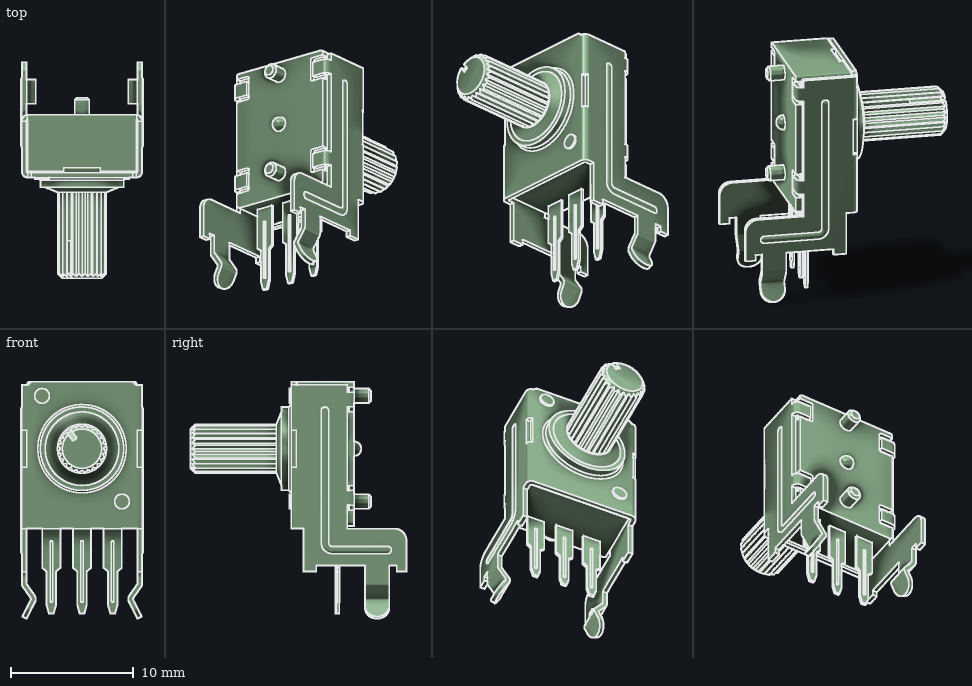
import cadquery as cq
import math


sheet = 0.4
frame_half_width = 4.9
wall_inner_x = frame_half_width - sheet
bend_radius = 0.5
wall_rear = 4.57
wall_top = 5.2
body_top = 5.45
plate_bottom = -6.5
lip_half_width = 4.4
lip_corner_x = 0.25
window_length = 3.0

collar_diameter = 6.8
collar_bore = 6.0
collar_length = 0.8
collar_root = 0.2

tab_offset = 4.0
tab_width = 1.2
tab_end_x = 3.4
tab_slot_width = 2.0
tab_slot_end_x = 3.2
tab_slot_fillet = 0.2

foot_front = 1.0
foot_rear = 9.4
foot_bottom = -9.52
foot_corner_radius = 1.0
pad_bottom = -10.0
front_pad_length = 1.05
rear_pad_length = 0.82

leg_y = 7.0
leg_width = 2.0
leg_bend_z = -11.14
leg_knee_z = -12.23
leg_bottom = -13.85
leg_inward_angle = 35
leg_outward_angle = 27
leg_bend_radius = 0.5

bead_height = 0.1
bead_half_width = 0.3
bead_y = 2.75
bead_top = 3.4
bead_z = -8.25
bead_rear = 8.15
bead_bend = 0.6

side_gap = 0.05
housing_half_width = wall_inner_x - side_gap
housing_front = sheet
housing_rear = 5.12
housing_bottom = -6.3
housing_top_fillet = 0.2
housing_bottom_fillet = 0.35
housing_chamfer = 0.1
pocket_length = 0.4
pocket_depth = 0.4
pin_diameter = 1.2
pin_z = 4.3
pin_length = 1.4
pin_chamfer = 0.2
rivet_x = 3.25
rivet_z = 4.3
rivet_height = 0.15
dome_radius = 0.6

rotor_seat_rear = 2.4
cone_front = -1.2
shaft_radius = 2.0
shaft_end = -8.2
shaft_chamfer = 0.4
knurl_teeth = 24
knurl_root_radius = 1.76
slot_angle = 127.5
slot_width = 0.4
slot_length = 3.05
slot_floor_radius = 1.7
slot_ramp_y = -7.8
slot_ramp_end_radius = 0.95

terminal_pitch = 2.5
terminal_front = 3.6
terminal_stagger = 0.12
terminal_thickness = 0.2
terminal_top = -5.0
shoulder_half_width = 0.75
shoulder_z = -9.7
neck_half_width = 0.4
neck_z = -10.0
taper_z = -12.7
tip_half_width = 0.2
tip_z = -13.43
rib_width = 0.2
rib_top = -7.5
rib_bottom = -12.5
rib_depth = 0.05


def block(x0, x1, y0, y1, z0, z1):
    """Box between two opposite corners."""
    return cq.Workplane("XY").box(x1 - x0, y1 - y0, z1 - z0, centered=False).translate((x0, y0, z0))


def rod(x, z, radius, y0, y1):
    """Cylinder along Y."""
    return cq.Workplane(cq.Solid.makeCylinder(radius, y1 - y0, cq.Vector(x, y0, z), cq.Vector(0, 1, 0)))



def make_channel():
    """Front plate and side walls with rounded bends, and the lip on the plate's top edge."""
    outer = block(-frame_half_width, frame_half_width, 0, wall_rear, plate_bottom, wall_top)
    outer = outer.edges("|Z and <Y").fillet(bend_radius)
    inner = block(-wall_inner_x, wall_inner_x, sheet, wall_rear, plate_bottom, wall_top)
    inner = inner.edges("|Z and <Y").fillet(bend_radius - sheet)
    lip_top_x = lip_half_width - lip_corner_x
    lip = (
        cq.Workplane("XZ")
        .polyline([(-lip_half_width, 0), (-lip_half_width, wall_top), (-lip_top_x, body_top),
                   (lip_top_x, body_top), (lip_half_width, wall_top), (lip_half_width, 0)])
        .close()
        .extrude(-sheet)
    )
    return outer.cut(inner).union(lip)


def make_collar():
    """Collar on the front plate with a sloped foot."""
    radius = collar_diameter / 2
    root_radius = radius + collar_root
    return (
        cq.Workplane("XY")
        .moveTo(collar_bore / 2, sheet)
        .lineTo(root_radius, sheet)
        .lineTo(root_radius, 0)
        .lineTo(radius, -collar_root)
        .lineTo(radius, -collar_length)
        .lineTo(collar_bore / 2, -collar_length)
        .close()
        .revolve(360, (0, 0, 0), (0, 1, 0))
    )


def make_tab(z):
    """Left-hand tab: a quarter bend at the wall's rear edge, then a flat end behind the housing."""
    bend_start = housing_rear - bend_radius
    bend_end_x = -frame_half_width + bend_radius
    inner_radius = bend_radius - sheet
    return (
        cq.Workplane("XY", origin=(0, 0, z - tab_width / 2))
        .moveTo(-frame_half_width, wall_rear - sheet)
        .lineTo(-frame_half_width, bend_start)
        .radiusArc((bend_end_x, housing_rear), bend_radius)
        .lineTo(-tab_end_x, housing_rear)
        .lineTo(-tab_end_x, housing_rear - sheet)
        .lineTo(bend_end_x, housing_rear - sheet)
        .radiusArc((-wall_inner_x, bend_start), -inner_radius)
        .lineTo(-wall_inner_x, wall_rear - sheet)
        .close()
        .extrude(tab_width)
    )


def make_foot():
    """Left-hand foot plate with its two stand-off pads."""
    x0, x1 = -frame_half_width, -wall_inner_x
    foot = block(x0, x1, foot_front, foot_rear, foot_bottom, plate_bottom)
    foot = foot.edges("|X and >Y and >Z").fillet(foot_corner_radius)
    riser = block(x0, x1, foot_front, wall_rear, foot_bottom, wall_top - bend_radius)
    front_pad = block(x0, x1, foot_front, foot_front + front_pad_length, pad_bottom, foot_bottom)
    rear_pad = block(x0, x1, foot_rear - rear_pad_length, foot_rear, pad_bottom, foot_bottom)
    return foot.union(riser).union(front_pad).union(rear_pad)


def make_leg():
    """Left-hand snap leg: sheet bent inward, then outward at the knee, with a round tip."""
    inward = math.radians(leg_inward_angle)
    outward = math.radians(leg_outward_angle)
    leg_tip_z = leg_bottom + sheet * math.sin(outward)
    knee_x = -frame_half_width + (leg_bend_z - leg_knee_z) * math.tan(inward)
    tip_x = knee_x - (leg_knee_z - leg_tip_z) * math.tan(outward)
    bend_drop = sheet * math.tan(inward / 2)
    turn = (inward + outward) / 2
    mitre = sheet / math.cos(turn)
    mitre_angle = (inward - outward) / 2
    outer_bend = (-frame_half_width, leg_bend_z)
    inner_bend = (-wall_inner_x, leg_bend_z + bend_drop)
    outer_knee = (knee_x, leg_knee_z)
    inner_knee = (knee_x + mitre * math.cos(mitre_angle), leg_knee_z + mitre * math.sin(mitre_angle))
    strip = (
        cq.Workplane("XZ", origin=(0, leg_y + leg_width / 2, 0))
        .moveTo(-frame_half_width, foot_bottom)
        .lineTo(*outer_bend)
        .lineTo(*outer_knee)
        .lineTo(tip_x, leg_tip_z)
        .lineTo(tip_x + sheet * math.cos(outward), leg_bottom)
        .lineTo(*inner_knee)
        .lineTo(*inner_bend)
        .lineTo(-wall_inner_x, foot_bottom)
        .close()
        .extrude(leg_width)
    )
    concave_radius = leg_bend_radius - sheet
    for (x, z), bend in [
        (outer_bend, leg_bend_radius),
        (inner_bend, concave_radius),
        (outer_knee, concave_radius),
        (inner_knee, leg_bend_radius),
    ]:
        strip = strip.edges(cq.NearestToPointSelector((x, leg_y, z))).fillet(bend)
    radius = leg_width / 2
    reach = foot_bottom - leg_tip_z + leg_width
    tip_plane = cq.Plane(
        origin=(tip_x, leg_y, leg_tip_z),
        xDir=(0, 1, 0),
        normal=(math.cos(outward), 0, -math.sin(outward)),
    )
    blank = (
        cq.Workplane(tip_plane)
        .moveTo(-radius, radius)
        .threePointArc((0, 0), (radius, radius))
        .lineTo(radius, reach)
        .lineTo(-radius, reach)
        .close()
        .extrude(leg_width, both=True)
    )
    return strip.intersect(blank)


def make_bead():
    """Left-hand L-shaped bead: a round bar with ball ends, of which only the crest stands proud."""
    radius = (bead_half_width ** 2 + bead_height ** 2) / (2 * bead_height)
    axis_x = -frame_half_width - bead_height + radius
    top_z = bead_top - bead_half_width
    rear_y = bead_rear - bead_half_width
    path = (
        cq.Workplane("YZ", origin=(axis_x, 0, 0))
        .moveTo(bead_y, top_z)
        .lineTo(bead_y, bead_z + bead_bend)
        .radiusArc((bead_y + bead_bend, bead_z), -bead_bend)
        .lineTo(rear_y, bead_z)
    )
    bar = cq.Workplane("XY", origin=(axis_x, bead_y, top_z)).circle(radius).sweep(path)
    for y, z in [(bead_y, top_z), (rear_y, bead_z)]:
        bar = bar.union(cq.Workplane("XY").sphere(radius).translate((axis_x, y, z)))
    crest = block(-frame_half_width - bead_height, -frame_half_width + bead_height,
                  0, foot_rear, foot_bottom, wall_top)
    return bar.intersect(crest)


def make_frame():
    """Sheet frame with both sides, collar, corner windows and rivet holes."""
    side = make_foot().union(make_leg()).union(make_bead())
    for z in (-tab_offset, tab_offset):
        side = side.union(make_tab(z))
    frame = make_channel().union(side).union(side.mirror("YZ")).union(make_collar())
    frame = frame.cut(rod(0, 0, collar_bore / 2, -collar_length, sheet))
    half_window = window_length / 2
    window = block(-frame_half_width, -wall_inner_x, 0, sheet, -half_window, half_window)
    frame = frame.cut(window).cut(window.mirror("YZ"))
    for sign in (-1, 1):
        frame = frame.cut(rod(sign * rivet_x, -sign * rivet_z, pin_diameter / 2, 0, sheet))
    return frame



def make_tab_slot(z):
    """Left-hand recess in the housing's rear that takes a folded tab, with a chamfered outer edge."""
    floor = housing_rear - sheet
    return (
        cq.Workplane("XY", origin=(0, 0, z - tab_slot_width / 2))
        .moveTo(-housing_half_width, housing_rear)
        .lineTo(-housing_half_width, floor - housing_chamfer)
        .lineTo(-housing_half_width + housing_chamfer, floor)
        .lineTo(-tab_slot_end_x, floor)
        .lineTo(-tab_slot_end_x, housing_rear)
        .close()
        .extrude(tab_slot_width)
        .edges("|Y and >X")
        .fillet(tab_slot_fillet)
    )


def make_housing():
    """Housing block with tab recesses, rear pins, front rivet posts, dome and rotor seat."""
    w = housing_half_width
    housing = block(-w, w, housing_front, housing_rear, housing_bottom, body_top)
    housing = housing.edges("|Y and >Z").fillet(housing_top_fillet)
    housing = housing.edges("|Y and <Z").fillet(housing_bottom_fillet)
    housing = housing.faces("<Y").edges().chamfer(housing_chamfer)
    half_window = window_length / 2
    housing = housing.cut(block(-half_window, half_window, housing_front, housing_front + pocket_length,
                                body_top - pocket_depth, body_top))
    for sign in (-1, 1):
        slot = make_tab_slot(sign * tab_offset)
        housing = housing.cut(slot).cut(slot.mirror("YZ"))
        pin = rod(0, sign * pin_z, pin_diameter / 2, housing_front, housing_rear + pin_length)
        housing = housing.union(pin.faces(">Y").chamfer(pin_chamfer))
        housing = housing.union(rod(sign * rivet_x, -sign * rivet_z, pin_diameter / 2,
                                    -rivet_height, housing_rear - sheet))
    housing = housing.union(cq.Workplane("XY").sphere(dome_radius).translate((0, housing_rear, 0)))
    return housing.cut(rod(0, 0, collar_bore / 2, housing_front, rotor_seat_rear))



def make_rotor():
    """Rotor disc, cone and knurled shaft with a marker slot in its end."""
    seat = rod(0, 0, collar_bore / 2, -collar_length, rotor_seat_rear)
    cone = cq.Workplane(cq.Solid.makeCone(
        collar_bore / 2, shaft_radius, -collar_length - cone_front,
        cq.Vector(0, -collar_length, 0), cq.Vector(0, -1, 0)))
    star = []
    for i in range(2 * knurl_teeth):
        radius = shaft_radius if i % 2 else knurl_root_radius
        angle = math.pi * i / knurl_teeth
        star.append((radius * math.cos(angle), radius * math.sin(angle)))
    shaft = cq.Workplane("XZ", origin=(0, cone_front, 0)).polyline(star).close()
    shaft = shaft.extrude(cone_front - shaft_end)
    envelope = rod(0, 0, shaft_radius, shaft_end, cone_front).faces("<Y").chamfer(shaft_chamfer)
    slot = (
        cq.Workplane("XY", origin=(0, 0, -slot_width / 2))
        .moveTo(shaft_radius, shaft_end + slot_length)
        .lineTo(slot_floor_radius, shaft_end + slot_length)
        .lineTo(slot_floor_radius, slot_ramp_y)
        .lineTo(slot_ramp_end_radius, shaft_end)
        .lineTo(shaft_radius, shaft_end)
        .close()
        .extrude(slot_width)
        .rotate((0, 0, 0), (0, 1, 0), -slot_angle)
    )
    return seat.union(cone).union(shaft.intersect(envelope).cut(slot))



def make_terminal(x, front):
    """Flat terminal with a shouldered, tapered tail and a pressed rib."""
    right_edge = [
        (shoulder_half_width, terminal_top),
        (shoulder_half_width, shoulder_z),
        (neck_half_width, neck_z),
        (neck_half_width, taper_z),
        (tip_half_width, tip_z),
    ]
    left_edge = [(-px, pz) for px, pz in reversed(right_edge)]
    rear = front + terminal_thickness
    blade = cq.Workplane("XZ", origin=(0, rear, 0)).polyline(right_edge + left_edge).close()
    blade = blade.extrude(terminal_thickness)
    rib = (
        cq.Workplane("XZ", origin=(0, rear + rib_depth, (rib_top + rib_bottom) / 2))
        .slot2D(rib_top - rib_bottom, rib_width, 90)
        .extrude(rib_depth)
    )
    groove = rib.translate((0, -terminal_thickness, 0))
    return blade.union(rib).cut(groove).translate((x, 0, 0))


frame = make_frame()
rotor = make_rotor()
terminals = [
    make_terminal(i * terminal_pitch, terminal_front + abs(i) * terminal_stagger) for i in (-1, 0, 1)
]
housing = make_housing()
for terminal in terminals:
    housing = housing.cut(terminal)

result = cq.Compound.makeCompound(
    [frame.val(), housing.val(), rotor.val()] + [terminal.val() for terminal in terminals]
)